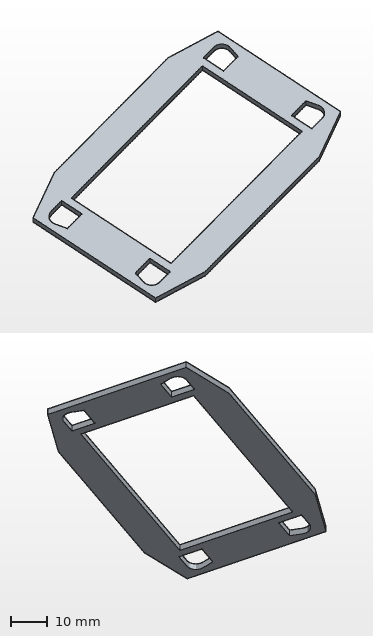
import cadquery as cq
import math

length = 80.5
width = 53.0
thickness = 2.0
end_width = 43.0
straight_side_length = 49.6

window_width = 34.9
window_length = 57.0

opening_inner_x = 11.9
opening_outer_x = 19.0
opening_inner_y = 30.8
opening_peak_y = 38.15
opening_radius = 2.8
slope_angle = math.radians(15)


def make_plate():
    half_x = width / 2
    half_y = length / 2
    end_x = end_width / 2
    side_y = straight_side_length / 2
    outline = [
        (end_x, half_y),
        (half_x, side_y),
        (half_x, -side_y),
        (end_x, -half_y),
        (-end_x, -half_y),
        (-half_x, -side_y),
        (-half_x, side_y),
        (-end_x, half_y),
    ]
    return cq.Workplane("XY").polyline(outline).close().extrude(thickness)


def make_window():
    return cq.Workplane("XY").rect(window_width, window_length).extrude(thickness)


def make_corner_opening():
    """Opening in the +X +Y corner, its rounded corner tangent to the side and the sloped end."""
    center_x = opening_outer_x - opening_radius
    center_y = opening_peak_y - opening_radius

    def arc_point(angle):
        return (
            center_x + opening_radius * math.cos(angle),
            center_y + opening_radius * math.sin(angle),
        )

    arc_end_angle = math.pi / 2 + slope_angle
    arc_end = arc_point(arc_end_angle)
    inner_end_y = arc_end[1] - (arc_end[0] - opening_inner_x) * math.tan(slope_angle)
    return (
        cq.Workplane("XY")
        .moveTo(opening_inner_x, opening_inner_y)
        .lineTo(opening_outer_x, opening_inner_y)
        .lineTo(opening_outer_x, center_y)
        .threePointArc(arc_point(arc_end_angle / 2), arc_end)
        .lineTo(opening_inner_x, inner_end_y)
        .close()
        .extrude(thickness)
    )


result = make_plate().cut(make_window())

opening = make_corner_opening()
for right_opening in (opening, opening.mirror("XZ")):
    result = result.cut(right_opening)
    result = result.cut(right_opening.mirror("YZ"))